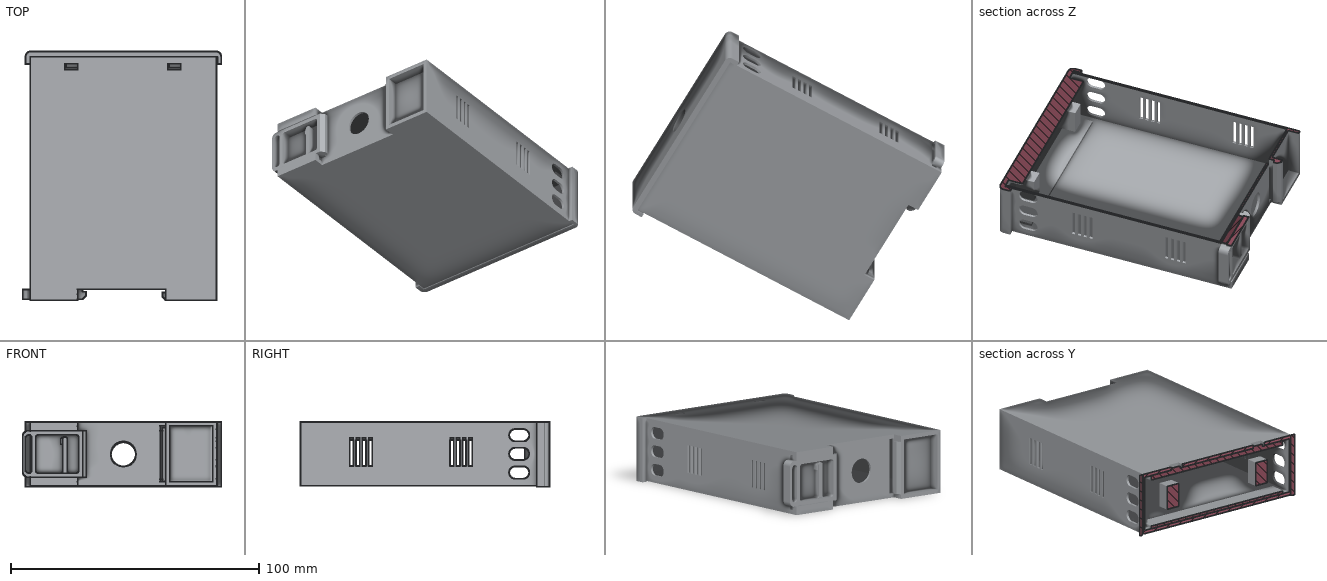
import cadquery as cq

LENGTH = 100.3
HOUSING_WIDTH = 75.0
HOUSING_HEIGHT = 25.8
WALL = 1.0
PLATE = 1.6
LEG_WALL = 1.6
MID_X = HOUSING_WIDTH / 2

LID_PLATE = 2.2
LID_SIDE = 1.9
LID_WIDTH = 78.8
LID_SIDE_GAP = 0.3
LID_DROP = 0.4
LID_WRAP = 3.0
LID_INNER_Y = LENGTH - LID_PLATE
LID_FLANGE_Y = LID_INNER_Y - LID_WRAP

NOTCH_DEPTH = 4.5
NOTCH_LEFT = 19.1
NOTCH_RIGHT = 54.6
INNER_FRONT_Y = NOTCH_DEPTH + WALL

HOOK_REACH = 1.3
HOOK_BACK_Y = 3.2
HOOK_EDGE_Y = 1.5
HOOK_BOTTOM = 1.9
HOOK_TOP = 23.4
OPENING_WIDTH = 2.3

CABLE_HOLE_DIAMETER = 10.0
LID_HOLE_DROP = 0.4

OVAL_LENGTH = 8.0
OVAL_HEIGHT = 4.8
OVAL_Y = 88.1
OVAL_PITCH = 7.5
OVAL_COUNT = 3
VENT_WIDTH = 1.4
VENT_HEIGHT = 11.3
VENT_BOTTOM = 7.1
VENT_RIGHT_RISE = 0.9
VENT_PITCH = 2.5
VENT_COUNT = 4
VENT_GROUP_Y = (24.4, 64.7)

SNAP_X = (16.4, 58.1)
SNAP_WIDTH = 5.2
SNAP_FRONT_Y = 92.9
SNAP_BACK_Y = 95.3
LATCH_WIDTH = 4.6
LATCH_SHIFT = 0.3
LATCH_RAMP = 1.6
LATCH_HEIGHT = 1.2
FLOOR_TONGUE_FRONT_Y = 88.3
ROOF_TONGUE_FRONT_Y = 92.1
FLOOR_TONGUE = 1.1
ROOF_TONGUE = 1.9
TONGUE_INSET = 4.0
BLOCK_INSET = 12.0
BLOCK_WIDTH = 6.0
BLOCK_HEIGHT = 10.0
BLOCK_FRONT_Y = 90.3

CLIP_LEFT = -3.0
CLIP_TIP = 22.6
CLIP_BOTTOM = 3.5
CLIP_TOP = 22.2
CLIP_MID_Z = (CLIP_TOP + CLIP_BOTTOM) / 2
CLIP_FRONT_Y = 0.4
CLIP_CORNER = 2.0
CLIP_NOSE = 1.5
CLIP_NOSE_BACK_Y = 3.5
GUIDE_FRONT_Y = 2.4
GUIDE_DEPTH = 1.8
GUIDE_GAP = 0.4
GUIDE_END_INSET = 0.5
RECESS_LEFT = 2.2
RECESS_RIGHT = 19.6
RECESS_HEIGHT = 15.3
RECESS_FLOOR = CLIP_MID_Z - RECESS_HEIGHT / 2
RECESS_CORNER = 1.0
GRIP_LEFT = -1.9
GRIP_WIDTH = 2.6
SPRING_LEFT = 13.0
SPRING_WIDTH = 1.9
SPRING_HEIGHT = 14.5
SPRING_TOP = RECESS_FLOOR + SPRING_HEIGHT
SPRING_SETBACK = 1.2
SPRING_ROOT = 0.8
SPRING_LIP = 0.8
SPRING_LIP_HEIGHT = 3.0
SPRING_LIP_SETBACK = 0.6


def block(x0, x1, y0, y1, z0, z1):
    """Box between two opposite corners."""
    return cq.Workplane("XY").box(x1 - x0, y1 - y0, z1 - z0, centered=False).translate((x0, y0, z0))


def bore(z, y0, y1):
    """Cylinder of the cable hole along Y."""
    hole = cq.Workplane("XZ", origin=(MID_X, y0, z)).circle(CABLE_HOLE_DIAMETER / 2)
    return hole.extrude(-(y1 - y0))


def prism_up(points, z0, z1):
    """Polygon in plan, extruded from z0 to z1."""
    return cq.Workplane("XY", origin=(0, 0, z0)).polyline(points).close().extrude(z1 - z0)


def housing_shell():
    outer = block(0, HOUSING_WIDTH, 0, LID_INNER_Y, 0, HOUSING_HEIGHT)
    cavity = block(WALL, HOUSING_WIDTH - WALL, INNER_FRONT_Y, LID_INNER_Y, PLATE, HOUSING_HEIGHT - PLATE)
    notch = block(NOTCH_LEFT, NOTCH_RIGHT, 0, NOTCH_DEPTH, 0, HOUSING_HEIGHT)
    leg_recess = block(
        NOTCH_RIGHT + LEG_WALL, HOUSING_WIDTH - LEG_WALL,
        0, NOTCH_DEPTH,
        LEG_WALL, HOUSING_HEIGHT - LEG_WALL,
    )
    return outer.cut(cavity).cut(notch).cut(leg_recess)


def rail_hook():
    profile = [
        (NOTCH_RIGHT, HOOK_BACK_Y),
        (NOTCH_RIGHT - HOOK_REACH, HOOK_BACK_Y),
        (NOTCH_RIGHT - HOOK_REACH, HOOK_EDGE_Y),
        (NOTCH_RIGHT, 0),
    ]
    return prism_up(profile, HOOK_BOTTOM, HOOK_TOP)


def hook_opening():
    return block(
        NOTCH_RIGHT - OPENING_WIDTH, NOTCH_RIGHT,
        NOTCH_DEPTH, INNER_FRONT_Y,
        LEG_WALL, HOUSING_HEIGHT - LEG_WALL,
    )


def clip_channel():
    """T-shaped slideway through the left leg."""
    slot = block(0, NOTCH_LEFT, 0, NOTCH_DEPTH, CLIP_BOTTOM, CLIP_TOP)
    grooves = block(
        0, NOTCH_LEFT, GUIDE_FRONT_Y, NOTCH_DEPTH, CLIP_BOTTOM - GUIDE_DEPTH, CLIP_TOP + GUIDE_DEPTH
    )
    return slot.union(grooves)


def side_ovals():
    centres = [
        (OVAL_Y, HOUSING_HEIGHT / 2 + (i - (OVAL_COUNT - 1) / 2) * OVAL_PITCH) for i in range(OVAL_COUNT)
    ]
    return cq.Workplane("YZ").pushPoints(centres).slot2D(OVAL_LENGTH, OVAL_HEIGHT).extrude(HOUSING_WIDTH)


def vents(x0, z0):
    """Both groups of vent slots through the side wall that starts at x0."""
    mid_z = z0 + VENT_HEIGHT / 2
    centres = [
        (group_y + (i - (VENT_COUNT - 1) / 2) * VENT_PITCH, mid_z)
        for group_y in VENT_GROUP_Y
        for i in range(VENT_COUNT)
    ]
    slots = cq.Workplane("YZ", origin=(x0, 0, 0)).pushPoints(centres).rect(VENT_WIDTH, VENT_HEIGHT)
    return slots.extrude(WALL)


def snap_window(x):
    half = SNAP_WIDTH / 2
    return block(x - half, x + half, SNAP_FRONT_Y, SNAP_BACK_Y, HOUSING_HEIGHT - PLATE, HOUSING_HEIGHT)


def make_housing():
    body = housing_shell().cut(hook_opening()).union(rail_hook()).cut(clip_channel())
    body = body.cut(bore(HOUSING_HEIGHT / 2, NOTCH_DEPTH, INNER_FRONT_Y)).cut(side_ovals())
    body = body.cut(vents(0, VENT_BOTTOM)).cut(vents(HOUSING_WIDTH - WALL, VENT_BOTTOM + VENT_RIGHT_RISE))
    for x in SNAP_X:
        body = body.cut(snap_window(x))
    return body


def lid_cap():
    """U-shaped cap with rounded outer corners."""
    left = -LID_SIDE
    cap = block(left, left + LID_WIDTH, LID_FLANGE_Y, LENGTH, -LID_DROP, HOUSING_HEIGHT)
    cap = cap.edges("|Z and >Y").fillet(LID_PLATE)
    return cap.cut(
        block(0, HOUSING_WIDTH + LID_SIDE_GAP, LID_FLANGE_Y, LID_INNER_Y, -LID_DROP, HOUSING_HEIGHT)
    )


def lid_tongue(front_y, z0, z1):
    """Wide tongue that slides in along the floor or the roof of the housing."""
    return block(TONGUE_INSET, HOUSING_WIDTH - TONGUE_INSET, front_y, LID_INNER_Y, z0, z1)


def latch(window_x):
    """Wedge on the upper tongue that snaps into a window of the housing."""
    base_z = HOUSING_HEIGHT - PLATE
    left = window_x + LATCH_SHIFT - LATCH_WIDTH / 2
    profile = [
        (SNAP_BACK_Y - LATCH_RAMP, base_z),
        (SNAP_BACK_Y, base_z),
        (SNAP_BACK_Y, base_z + LATCH_HEIGHT),
    ]
    wedge = cq.Workplane("YZ", origin=(left, 0, 0)).polyline(profile).close()
    return wedge.extrude(LATCH_WIDTH)


def stop_block(x0):
    mid_z = HOUSING_HEIGHT / 2
    return block(
        x0, x0 + BLOCK_WIDTH, BLOCK_FRONT_Y, LID_INNER_Y, mid_z - BLOCK_HEIGHT / 2, mid_z + BLOCK_HEIGHT / 2
    )


def make_lid():
    roof_z = HOUSING_HEIGHT - PLATE
    body = lid_cap().union(lid_tongue(FLOOR_TONGUE_FRONT_Y, PLATE, PLATE + FLOOR_TONGUE))
    body = body.union(lid_tongue(ROOF_TONGUE_FRONT_Y, roof_z - ROOF_TONGUE, roof_z))
    for x in SNAP_X:
        body = body.union(latch(x))
    for x0 in (BLOCK_INSET, HOUSING_WIDTH - BLOCK_INSET - BLOCK_WIDTH):
        body = body.union(stop_block(x0))
    return body.cut(bore(HOUSING_HEIGHT / 2 - LID_HOLE_DROP, LID_INNER_Y, LENGTH))


def clip_slider():
    bevel_x = CLIP_TIP - CLIP_NOSE
    bevel_y = CLIP_FRONT_Y + CLIP_NOSE
    profile = [
        (CLIP_LEFT, CLIP_FRONT_Y),
        (bevel_x, CLIP_FRONT_Y),
        (CLIP_TIP, bevel_y),
        (CLIP_TIP, CLIP_NOSE_BACK_Y),
        (bevel_x, CLIP_NOSE_BACK_Y),
        (bevel_x, NOTCH_DEPTH),
        (CLIP_LEFT, NOTCH_DEPTH),
    ]
    slider = prism_up(profile, CLIP_BOTTOM, CLIP_TOP)
    slider = slider.edges("|Y and <X").fillet(CLIP_CORNER)
    reach = GUIDE_DEPTH - GUIDE_GAP
    guides = block(
        GUIDE_END_INSET, NOTCH_LEFT - GUIDE_END_INSET, GUIDE_FRONT_Y, NOTCH_DEPTH,
        CLIP_BOTTOM - reach, CLIP_TOP + reach,
    )
    return slider.union(guides)


def clip_recess():
    width = RECESS_RIGHT - RECESS_LEFT
    recess = cq.Workplane("XZ", origin=(RECESS_LEFT + width / 2, CLIP_FRONT_Y, CLIP_MID_Z))
    recess = recess.rect(width, RECESS_HEIGHT).extrude(CLIP_FRONT_Y - NOTCH_DEPTH)
    return recess.edges("|Y").fillet(RECESS_CORNER)


def grip_slot():
    slot = cq.Workplane("XZ", origin=(GRIP_LEFT + GRIP_WIDTH / 2, CLIP_FRONT_Y, CLIP_MID_Z))
    return slot.slot2D(RECESS_HEIGHT, GRIP_WIDTH, 90).extrude(CLIP_FRONT_Y - NOTCH_DEPTH)


def spring_profile(front_y):
    """Sketch plane parallel to the front of the clip."""
    return cq.Workplane("XZ", origin=(0, front_y, 0))


def spring_arm():
    """Upright arm with filleted roots and a round head."""
    front_y = CLIP_FRONT_Y + SPRING_SETBACK
    right = SPRING_LEFT + SPRING_WIDTH
    root_z = RECESS_FLOOR + SPRING_ROOT
    head_z = SPRING_TOP - SPRING_WIDTH / 2
    arm = (
        spring_profile(front_y)
        .moveTo(SPRING_LEFT - SPRING_ROOT, RECESS_FLOOR)
        .radiusArc((SPRING_LEFT, root_z), -SPRING_ROOT)
        .lineTo(SPRING_LEFT, head_z)
        .threePointArc((SPRING_LEFT + SPRING_WIDTH / 2, SPRING_TOP), (right, head_z))
        .lineTo(right, root_z)
        .radiusArc((right + SPRING_ROOT, RECESS_FLOOR), -SPRING_ROOT)
        .close()
    )
    return arm.extrude(front_y - NOTCH_DEPTH)


def spring_lip():
    """Small lip on the left of the arm's head, set back from the arm."""
    front_y = CLIP_FRONT_Y + SPRING_SETBACK + SPRING_LIP_SETBACK
    radius = (SPRING_WIDTH + SPRING_LIP) / 2
    left = SPRING_LEFT - SPRING_LIP
    lip = (
        spring_profile(front_y)
        .moveTo(SPRING_LEFT + SPRING_WIDTH / 2, SPRING_TOP - SPRING_LIP_HEIGHT)
        .lineTo(left, SPRING_TOP - SPRING_LIP_HEIGHT)
        .lineTo(left, SPRING_TOP - radius)
        .radiusArc((left + radius, SPRING_TOP), radius)
        .close()
    )
    return lip.extrude(front_y - NOTCH_DEPTH)


def make_clip():
    return clip_slider().cut(clip_recess()).cut(grip_slot()).union(spring_arm()).union(spring_lip())


housing = make_housing()
lid = make_lid()
clip = make_clip()

result = cq.Compound.makeCompound([housing.val(), lid.val(), clip.val()])